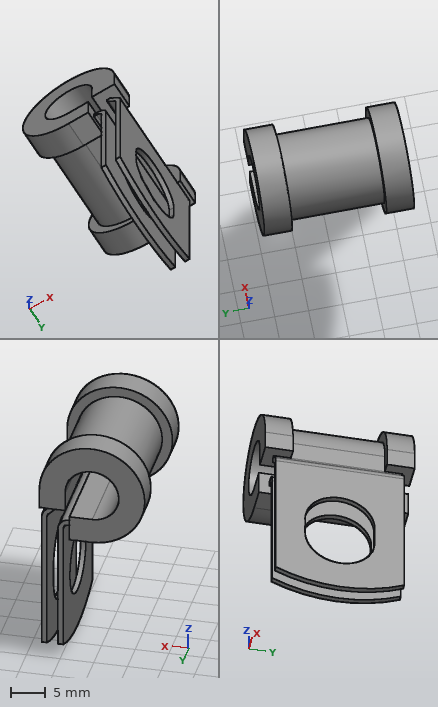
import math

import cadquery as cq


outer_radius = 7.83
strap_thickness = 0.79
rubber_thickness = 1.53
strap_outer_radius = outer_radius - rubber_thickness
strap_inner_radius = strap_outer_radius - strap_thickness
bore_radius = strap_inner_radius - rubber_thickness

upper_end_drop = 3.0
lower_end_reach = 3.35

strap_width = 19.0
cushion_width = 22.1
lip_width = 4.1
waist_width = cushion_width - 2 * lip_width

bend_inner_radius = 0.8
bend_outer_radius = bend_inner_radius + strap_thickness
jog_inner_radius = 0.6
jog_outer_radius = jog_inner_radius + strap_thickness
jog_angle = math.radians(45)
near_leg_outer_x = 5.41
far_leg_outer_x = outer_radius
leg_bottom_z = -28.54
leg_end_sag = 2.1
hole_diameter = 10.3
hole_center_z = -17.4
slot_travel = 2.6
slot_length = hole_diameter + slot_travel


def extrude_centered(profile, width):
    """Extrude an XZ profile symmetrically about the XZ plane."""
    return profile.extrude(width / 2, both=True)


def loop_band(inner, outer, width):
    """Three-quarter ring around the bore, with one end running down and the other toward +X."""
    inner_mid = inner * math.sqrt(0.5)
    outer_mid = outer * math.sqrt(0.5)
    profile = (
        cq.Workplane("XZ")
        .moveTo(inner, -upper_end_drop)
        .lineTo(inner, 0)
        .threePointArc((-inner_mid, inner_mid), (0, -inner))
        .lineTo(lower_end_reach, -inner)
        .lineTo(lower_end_reach, -outer)
        .lineTo(0, -outer)
        .threePointArc((-outer_mid, outer_mid), (outer, 0))
        .lineTo(outer, -upper_end_drop)
        .close()
    )
    return extrude_centered(profile, width)


def arc_point(center, radius, angle):
    """Point on a circle at an angle in radians, measured from +X toward +Z."""
    return (center[0] + radius * math.cos(angle), center[1] + radius * math.sin(angle))


def cushion_loop():
    """Waist flush with the strap, between two full-thickness end lips."""
    loop = loop_band(bore_radius, strap_outer_radius, waist_width)
    lip = loop_band(bore_radius, outer_radius, lip_width)
    lip_offset = (cushion_width - lip_width) / 2
    for side in (-1, 1):
        loop = loop.union(lip.translate((0, side * lip_offset, 0)))
    return loop


def near_leg():
    """Leg leaving the lower loop end along +X and bending straight down."""
    center = (near_leg_outer_x - bend_outer_radius, -strap_inner_radius - bend_outer_radius)
    bend_mid_angle = math.pi / 4
    inner_x = near_leg_outer_x - strap_thickness
    profile = (
        cq.Workplane("XZ")
        .moveTo(lower_end_reach, -strap_inner_radius)
        .lineTo(center[0], -strap_inner_radius)
        .threePointArc(arc_point(center, bend_outer_radius, bend_mid_angle), (near_leg_outer_x, center[1]))
        .lineTo(near_leg_outer_x, leg_bottom_z)
        .lineTo(inner_x, leg_bottom_z)
        .lineTo(inner_x, center[1])
        .threePointArc(arc_point(center, bend_inner_radius, bend_mid_angle), (center[0], -strap_outer_radius))
        .lineTo(lower_end_reach, -strap_outer_radius)
        .close()
    )
    return extrude_centered(profile, strap_width)


def far_leg():
    """Leg leaving the upper loop end downward, jogged toward +X before running straight down."""
    shift = far_leg_outer_x - strap_outer_radius
    jog_radius_sum = jog_inner_radius + jog_outer_radius
    straight_shift = shift - jog_radius_sum * (1 - math.cos(jog_angle))
    jog_drop = jog_radius_sum * math.sin(jog_angle) + straight_shift / math.tan(jog_angle)
    jog_bottom_z = -upper_end_drop - jog_drop
    inner_x = far_leg_outer_x - strap_thickness

    upper_center = (strap_outer_radius + jog_inner_radius, -upper_end_drop)
    lower_center = (far_leg_outer_x - jog_outer_radius, jog_bottom_z)
    upper_mid = math.pi + jog_angle / 2
    upper_stop = math.pi + jog_angle
    lower_mid = jog_angle / 2

    profile = (
        cq.Workplane("XZ")
        .moveTo(strap_outer_radius, -upper_end_drop)
        .threePointArc(
            arc_point(upper_center, jog_inner_radius, upper_mid),
            arc_point(upper_center, jog_inner_radius, upper_stop),
        )
        .lineTo(*arc_point(lower_center, jog_outer_radius, jog_angle))
        .threePointArc(
            arc_point(lower_center, jog_outer_radius, lower_mid),
            (far_leg_outer_x, jog_bottom_z),
        )
        .lineTo(far_leg_outer_x, leg_bottom_z)
        .lineTo(inner_x, leg_bottom_z)
        .lineTo(inner_x, jog_bottom_z)
        .threePointArc(
            arc_point(lower_center, jog_inner_radius, lower_mid),
            arc_point(lower_center, jog_inner_radius, jog_angle),
        )
        .lineTo(*arc_point(upper_center, jog_outer_radius, upper_stop))
        .threePointArc(
            arc_point(upper_center, jog_outer_radius, upper_mid),
            (strap_inner_radius, -upper_end_drop),
        )
        .close()
    )
    return extrude_centered(profile, strap_width)


def trim_leg_end(leg):
    """Cut a leg to a bowed lower end."""
    half_width = strap_width / 2
    corner_z = leg_bottom_z + leg_end_sag
    outline = (
        cq.Workplane("YZ")
        .moveTo(-half_width, 0)
        .lineTo(-half_width, corner_z)
        .threePointArc((0, leg_bottom_z), (half_width, corner_z))
        .lineTo(half_width, 0)
        .close()
        .extrude(outer_radius)
    )
    return leg.intersect(outline)


def bolt_hole():
    """Round hole cutter along X."""
    return cq.Workplane("YZ").center(0, hole_center_z).circle(hole_diameter / 2).extrude(outer_radius)


def bolt_slot():
    """Round-ended slot cutter along X, long in Z and as wide as the bolt hole."""
    return (
        cq.Workplane("YZ")
        .center(0, hole_center_z)
        .slot2D(slot_length, hole_diameter, 90)
        .extrude(outer_radius)
    )


round_hole_leg = trim_leg_end(near_leg()).cut(bolt_hole())
slotted_leg = trim_leg_end(far_leg()).cut(bolt_slot())
result = cushion_loop().union(round_hole_leg).union(slotted_leg)